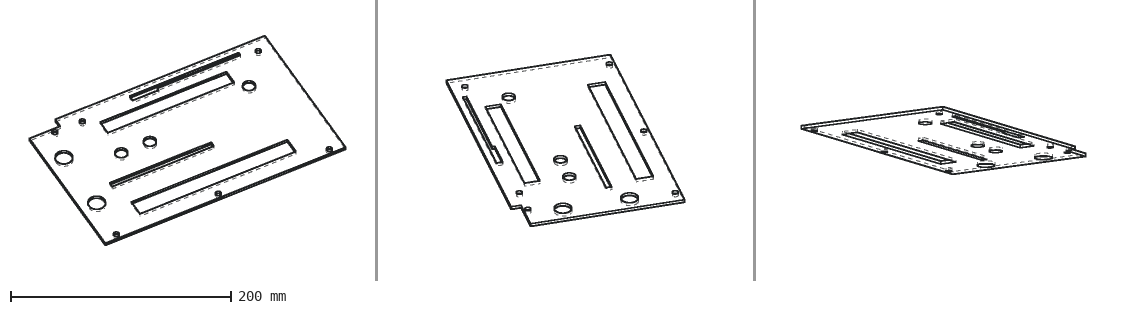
import cadquery as cq

plate_width = 154.8
plate_length = 247.6
plate_thickness = 3.0
notch_width = 9.5
notch_length = 31.7

mounting_diameter = 5.5
left_mounting_x = 13.5
right_mounting_x = plate_width - 5.0
top_mounting_y = 233.5
left_mounting_ys = [24.0, 52.3, top_mounting_y]
right_mounting_ys = [14.0, 119.0, top_mounting_y]

medium_diameter = 12.0
medium_centers = [(47.0, 206.0), (64.5, 94.5), (64.5, 65.1)]
large_diameter = 16.0
large_y = 16.5
large_centers = [(44.5, large_y), (107.5, large_y)]

windows = [
    (22.3, 65.9, 14.5, 130.3),
    (91.6, 38.6, 5.2, 104.5),
    (121.5, 44.8, 16.3, 160.7),
]

stepped_left = 7.0
stepped_bottom = 104.5
stepped_length = 112.5
stepped_narrow_width = 3.5
stepped_wide_width = 6.0
stepped_wide_length = 26.7


def block(left, bottom, width, length):
    """Box through the full plate thickness, placed by its lower left corner."""
    return cq.Workplane("XY").box(width, length, plate_thickness, centered=False).translate((left, bottom, 0))


def pins(centers, diameter):
    """Cylinders through the full plate thickness."""
    return cq.Workplane("XY").pushPoints(centers).circle(diameter / 2).extrude(plate_thickness)


result = block(0, 0, plate_width, plate_length)
result = result.cut(block(0, 0, notch_width, notch_length))

mounting_centers = [(left_mounting_x, y) for y in left_mounting_ys]
mounting_centers += [(right_mounting_x, y) for y in right_mounting_ys]
result = result.cut(pins(mounting_centers, mounting_diameter))
result = result.cut(pins(medium_centers, medium_diameter))
result = result.cut(pins(large_centers, large_diameter))

for window in windows:
    result = result.cut(block(*window))

result = result.cut(block(stepped_left, stepped_bottom, stepped_narrow_width, stepped_length))
result = result.cut(block(stepped_left, stepped_bottom, stepped_wide_width, stepped_wide_length))